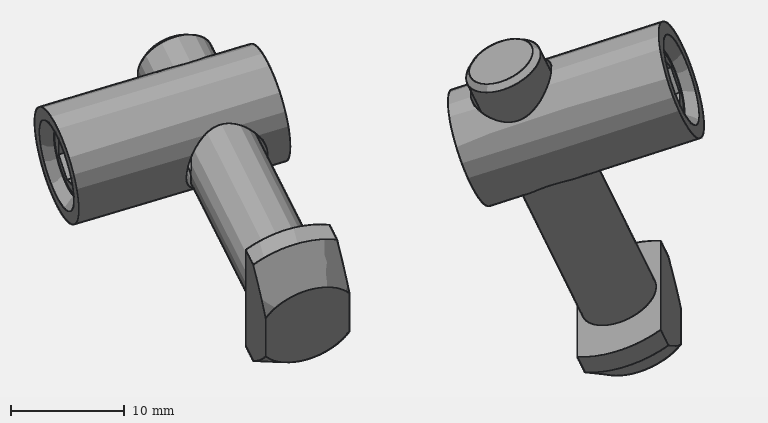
import cadquery as cq


shank_radius = 3.55
shank_start_x = -7.77
shank_chamfer = 0.52
bolt_length = 32.8
head_thickness = 4.85
head_rim_thickness = 1.85
head_radius = 7.725
head_end_radius = 4.75
head_width = 7.95
bolt_end_x = shank_start_x + bolt_length
head_start_x = bolt_end_x - head_thickness

barrel_radius = 5.4
barrel_length = 20.0
barrel_back_y = 6.0
barrel_front_y = barrel_back_y - barrel_length
cross_hole_radius = 3.85
mouth_radius = 4.2

screw_radius = 3.2
screw_chamfer = 0.245
screw_face_y = barrel_front_y + mouth_radius - screw_radius
hex_across_corners = 4.707
hex_depth = 3.28

dimple_offset_x = 2.15
dimple_tip_y = 0.0
dimple_radius = 4.25
point_tip_y = dimple_tip_y - dimple_offset_x


def cone_along_y(base_radius, tip_y):
    """A 90 degree cone with its tip at tip_y, widening towards -Y."""
    profile = cq.Workplane("XY").polyline([
        (0, tip_y),
        (base_radius, tip_y - base_radius),
        (0, tip_y - base_radius),
    ]).close()
    return profile.revolve(360, (0, 0, 0), (0, 1, 0))


def make_head():
    """Round head with a conical end, trimmed to two parallel flats."""
    profile = cq.Workplane("XZ").polyline([
        (head_start_x, 0),
        (head_start_x, head_radius),
        (head_start_x + head_rim_thickness, head_radius),
        (bolt_end_x, head_end_radius),
        (bolt_end_x, 0),
    ]).close()
    round_head = profile.revolve(360, (0, 0, 0), (1, 0, 0))
    flats = (
        cq.Workplane("YZ", origin=(head_start_x, 0, 0))
        .rect(head_width, 2 * head_radius)
        .extrude(head_thickness)
    )
    return round_head.intersect(flats)


def make_bolt():
    shank = (
        cq.Workplane("YZ", origin=(shank_start_x, 0, 0))
        .circle(shank_radius)
        .extrude(head_start_x - shank_start_x)
        .faces("<X")
        .chamfer(shank_chamfer)
    )
    dimple = cone_along_y(dimple_radius, dimple_tip_y).translate((dimple_offset_x, 0, 0))
    return shank.union(make_head()).cut(dimple)


def make_barrel():
    """Barrel with its cross hole, conical mouth and set screw form."""
    body = (
        cq.Workplane("XZ", origin=(0, barrel_back_y, 0))
        .circle(barrel_radius)
        .extrude(barrel_length)
    )
    cross_hole = (
        cq.Workplane("YZ", origin=(-barrel_radius, 0, 0))
        .circle(cross_hole_radius)
        .extrude(2 * barrel_radius)
    )
    mouth_profile = cq.Workplane("XY").polyline([
        (0, barrel_front_y),
        (mouth_radius, barrel_front_y),
        (screw_radius, screw_face_y),
        (screw_radius, screw_face_y + screw_chamfer),
        (screw_radius - screw_chamfer, screw_face_y),
        (0, screw_face_y),
    ]).close()
    mouth = mouth_profile.revolve(360, (0, 0, 0), (0, 1, 0))
    hex_socket = (
        cq.Workplane("XZ", origin=(0, screw_face_y, 0))
        .transformed(rotate=(0, 0, 90))
        .polygon(6, hex_across_corners)
        .extrude(-hex_depth)
    )
    screw_point = cone_along_y(screw_radius, point_tip_y)
    return body.cut(cross_hole).cut(mouth).cut(hex_socket).union(screw_point)


bolt = make_bolt()
barrel = make_barrel()
result = cq.Compound.makeCompound([bolt.val(), barrel.val()])